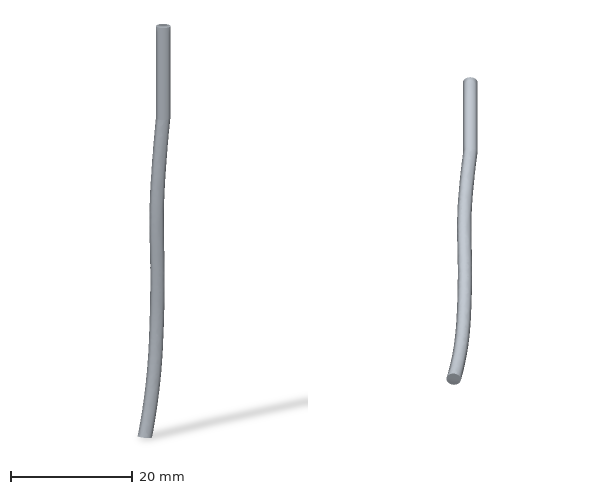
import cadquery as cq

rod_diameter = 2.4
total_height = 70.0
straight_length = 15.8
joint_height = total_height - straight_length

joint_point = (0, 0, joint_height)
bend_points = [
    (-0.15, -0.8, 46.2),
    (-0.2, -1.2, 38.85),
    (-0.2, -1.05, 27.0),
    (-0.2, -1.2, 19.6),
    (0.0, -1.8, 12.25),
    (0.15, -3.1, 4.55),
]
end_point = (0.2, -4.1, 0.175)


def straight_rod():
    """Upright cylinder above the joint."""
    return cq.Workplane("XY", origin=joint_point).circle(rod_diameter / 2).extrude(straight_length)


def bent_rod():
    """Round section swept down a gently wavy spline, starting level at the joint."""
    path = cq.Workplane("XY").spline([joint_point, *bend_points, end_point])
    return cq.Workplane("XY", origin=joint_point).circle(rod_diameter / 2).sweep(path)


result = straight_rod().union(bent_rod())